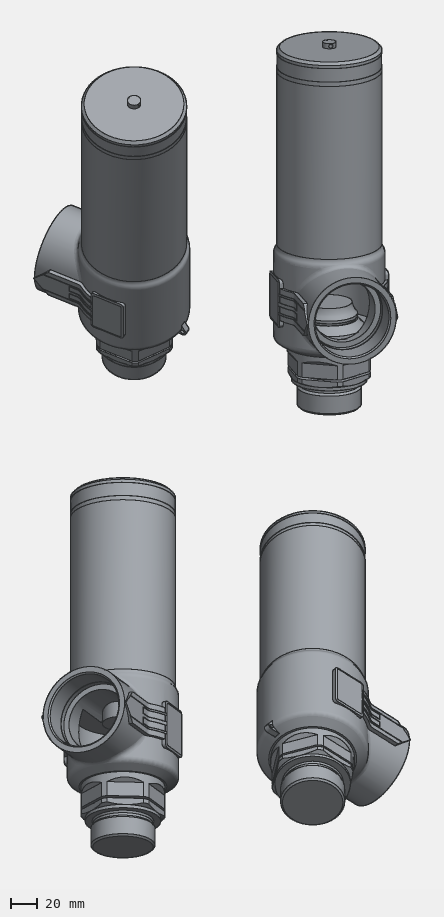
import cadquery as cq
import math


spigot_radius = 23.8
spigot_chamfer = 1.5
spigot_top = 15.0
relief_diameter = 44.5
relief_radius = relief_diameter / 2
relief_bottom = 16.7
relief_top = 18.7
collar_root_radius = 23.0
collar_bottom = 20.5
collar_top = 23.0
hex_sides = 6
hex_half_width = 28.0
neck_radius = 31.2
hex_chamfer_top = 24.7
hex_groove_radius = 25.0
hex_groove_bottom = 28.0
hex_groove_top = 29.8
hex_top = 41.0
hex_runout_height = 2.8
inlet_shoulder = 48.0
shank_radius = 27.0
seat_base_radius = 21.0
seat_base_bottom = 68.7
seat_groove_radius = 20
seat_groove_top = 70.5
seat_base_top = 72.7
seat_radius = 17
seat_top = 81.2
seat_flare_bulge = 0.9

body_radius = 41.5
bottom_radius = 32.5
bottom_cone_top = 53.4
bottom_round = 4.5
shoulder_bottom = 119.5
bonnet_bottom = 126.5
bonnet_radius = 39.2

branch_radius = 33.8
branch_height = 86.5
branch_end = 65.8
branch_blend = 4.0
joint_limit_x = -21.3
branch_thread_radius = 28.5
branch_mouth_chamfer = 1.0
branch_thread_depth = 19.0
branch_step_radius = 28.0
branch_step_depth = 23.5
branch_bore_radius = 23.8

chamber_radius = 35.2
chamber_bottom = 62.5
chamber_top = 102.2
guide_radius = 15.3
guide_bottom = 98.2

edge_margin = 0.3

plate_face = 42.5
plate_width = 27.5
plate_height = 37
plate_corner = 2.8
plate_edge_width = 1.7
plate_edge_depth = 0.5
strap_outer_radius = 44.3
strap_height = 25.0
strap_pad_face = 35.0
strap_blend = 5.7
strap_overlap = 2.8
strap_relief = 0.43
raised_band_height = 16.2
arrow_length = 12.2
stripe_start = -36.0
stripe_height = 5.0
stripe_offset = 4.0

lug_diameter = 6.0
lug_radius = lug_diameter / 2
lug_hole_radius = 1.55
lug_reach = 45.0
lug_x = lug_reach - lug_radius
lug_z = 52.2
lug_thickness = 4.8
lug_root_top = 58.7

cap_bottom = 261.5
cap_band_bottom = 264.8
cap_band_top = 275.3
cap_top = 279.8
cap_chamfer = 2.13
cap_band_depth = 0.3
pin_diameter = 10.0
pin_radius = pin_diameter / 2
pin_top = 283.8
pin_hole_radius = 1.55
pin_hole_height = 281.8


def revolved(profile):
    """Turn a closed (radius, Z) outline about the Z axis."""
    return profile.close().revolve(360, (0, 0, 0), (0, 1, 0))


def along_x(radius, x_from, x_to):
    """Cylinder on the outlet axis between two X positions."""
    plane = cq.Workplane("YZ", origin=(x_from, 0, branch_height))
    return plane.circle(radius).extrude(x_to - x_from)


def disc(radius, z_from, z_to):
    """Cylinder on the valve axis between two heights."""
    return cq.Workplane("XY").workplane(offset=z_from).circle(radius).extrude(z_to - z_from)


def edge_box(x_from, x_to, half_width, z_from, z_to):
    """Selects the edges lying wholly inside a box, with a little room on every side."""
    low = (x_from - edge_margin, -half_width - edge_margin, z_from - edge_margin)
    high = (x_to + edge_margin, half_width + edge_margin, z_to + edge_margin)
    return cq.selectors.BoxSelector(low, high, boundingbox=True)


def hex_flat_cutter(angle):
    """Removes one hexagon flat and its sloping run-out into the round neck."""
    outside = neck_radius + (neck_radius - hex_half_width)
    outside_top = hex_top + 2 * hex_runout_height
    section = (
        cq.Workplane("XZ", origin=(0, neck_radius, 0))
        .moveTo(hex_half_width, collar_top)
        .lineTo(hex_half_width, hex_top)
        .lineTo(outside, outside_top)
        .lineTo(outside, collar_top)
        .close()
        .extrude(2 * neck_radius)
    )
    return section.rotate((0, 0, 0), (0, 0, 1), angle)


def make_inlet():
    flare_middle_radius = (seat_radius + seat_base_radius) / 2 - seat_flare_bulge
    flare_middle_height = (seat_top + seat_base_top) / 2
    turned = revolved(
        cq.Workplane("XZ")
        .moveTo(0, 0)
        .lineTo(spigot_radius - spigot_chamfer, 0)
        .lineTo(spigot_radius, spigot_chamfer)
        .lineTo(spigot_radius, spigot_top)
        .lineTo(relief_radius, relief_bottom)
        .lineTo(relief_radius, relief_top)
        .lineTo(collar_root_radius, collar_bottom)
        .lineTo(hex_half_width, collar_bottom)
        .lineTo(hex_half_width, collar_top)
        .lineTo(neck_radius, hex_chamfer_top)
        .lineTo(neck_radius, hex_groove_bottom)
        .lineTo(hex_groove_radius, hex_groove_bottom)
        .lineTo(hex_groove_radius, hex_groove_top)
        .lineTo(neck_radius, hex_groove_top)
        .lineTo(neck_radius, inlet_shoulder)
        .lineTo(shank_radius, inlet_shoulder)
        .lineTo(shank_radius, chamber_bottom)
        .lineTo(seat_base_radius, seat_base_bottom)
        .lineTo(seat_groove_radius, seat_base_bottom)
        .lineTo(seat_groove_radius, seat_groove_top)
        .lineTo(seat_base_radius, seat_groove_top)
        .lineTo(seat_base_radius, seat_base_top)
        .threePointArc((flare_middle_radius, flare_middle_height), (seat_radius, seat_top))
        .lineTo(0, seat_top)
    )
    flat_angle = 360 / hex_sides
    for side in range(hex_sides):
        turned = turned.cut(hex_flat_cutter((side + 0.5) * flat_angle))
    return turned


def housing_shell():
    """Turned outside of the housing, with the outlet branch blended into it."""
    middle_radius = (body_radius + bonnet_radius) / 2
    middle_height = (shoulder_bottom + bonnet_bottom) / 2
    turned = revolved(
        cq.Workplane("XZ")
        .moveTo(0, inlet_shoulder)
        .lineTo(bottom_radius, inlet_shoulder)
        .lineTo(body_radius, bottom_cone_top)
        .lineTo(body_radius, shoulder_bottom)
        .tangentArcPoint((middle_radius, middle_height), relative=False)
        .tangentArcPoint((bonnet_radius, bonnet_bottom), relative=False)
        .lineTo(0, bonnet_bottom)
    )
    turned = turned.edges(
        edge_box(-body_radius, body_radius, body_radius, bottom_cone_top, bottom_cone_top)
    ).fillet(bottom_round)
    joined = turned.union(along_x(branch_radius, -branch_end, 0))
    joint = edge_box(-body_radius, joint_limit_x, branch_radius, 0, bonnet_bottom)
    return joined.edges(joint).fillet(branch_blend)


def outlet_passage():
    """Threaded branch mouth, its step and the bore through to the chamber."""
    mouth = -branch_end
    step_start = mouth + branch_thread_depth
    bore_start = mouth + branch_step_depth
    thread = along_x(branch_thread_radius, mouth, step_start)
    chamfer = cq.Workplane(
        cq.Solid.makeCone(
            branch_thread_radius + branch_mouth_chamfer,
            branch_thread_radius,
            branch_mouth_chamfer,
            cq.Vector(mouth, 0, branch_height),
            cq.Vector(1, 0, 0),
        )
    )
    step = along_x(branch_step_radius, step_start, bore_start)
    bore = along_x(branch_bore_radius, bore_start, 0)
    return thread.union(chamfer).union(step).union(bore)


def chamber():
    """Space around the seat and the outlet, leaving a guide boss hanging from the ceiling."""
    space = disc(chamber_radius, chamber_bottom, chamber_top)
    passage = space.union(outlet_passage())
    return passage.cut(disc(guide_radius, guide_bottom, bonnet_bottom))


def strap_band(recess, height):
    """Band that follows the housing wall and runs on as a flat pad along the branch (-Y side)."""
    radius = strap_outer_radius - recess
    face = strap_pad_face - recess
    bend_x = -math.sqrt(radius**2 - face**2)
    end_x = strap_overlap - plate_width / 2
    end_y = -math.sqrt(radius**2 - end_x**2)
    middle = (math.atan2(-face, bend_x) + math.atan2(end_y, end_x)) / 2
    outline = (
        cq.Workplane("XY", origin=(0, 0, branch_height - height / 2))
        .moveTo(-branch_end, 0)
        .lineTo(-branch_end, -face)
        .lineTo(bend_x, -face)
        .threePointArc((radius * math.cos(middle), radius * math.sin(middle)), (end_x, end_y))
        .lineTo(end_x, 0)
        .close()
        .extrude(height)
    )
    bend = cq.selectors.NearestToPointSelector((bend_x, -face, branch_height))
    return outline.edges("|Z").edges(bend).fillet(strap_blend)


def strap():
    """Arrow strap: a raised middle band with two grooved stripes."""
    band = strap_band(0, raised_band_height)
    for side in (-1, 1):
        stripe_z = branch_height + side * stripe_offset
        groove = cq.Workplane("XY", origin=(stripe_start, 0, stripe_z)).box(
            -stripe_start, 2 * plate_face, stripe_height, centered=(False, True, True)
        )
        band = band.cut(groove)
    whole = strap_band(strap_relief, strap_height).union(band)
    half = strap_height / 2
    shoulder_x = -branch_end + arrow_length
    arrow = (
        cq.Workplane("XZ", origin=(0, 0, branch_height))
        .polyline([(-branch_end, 0), (shoulder_x, half), (0, half), (0, -half), (shoulder_x, -half)])
        .close()
        .extrude(plate_face)
    )
    return whole.intersect(arrow)


def name_plate():
    return (
        cq.Workplane("XZ", origin=(0, 0, branch_height))
        .rect(plate_width, plate_height)
        .extrude(plate_face)
        .edges("|Y")
        .fillet(plate_corner)
        .faces("<Y")
        .chamfer(plate_edge_depth, plate_edge_width)
    )


def seal_lug():
    """Ear with a hole for a sealing wire, on the side away from the outlet."""
    reach = lug_radius / math.sqrt(2)
    web = (
        cq.Workplane("XZ", origin=(0, lug_thickness / 2, 0))
        .moveTo(bottom_radius, lug_z - lug_radius)
        .lineTo(lug_x, lug_z - lug_radius)
        .lineTo(lug_x + reach, lug_z + reach)
        .lineTo(body_radius, lug_root_top)
        .lineTo(bottom_radius, lug_root_top)
        .close()
        .extrude(lug_thickness)
    )
    eye = cq.Workplane("XZ", origin=(lug_x, lug_thickness / 2, lug_z))
    ear = web.union(eye.circle(lug_radius).extrude(lug_thickness))
    return ear.cut(eye.circle(lug_hole_radius).extrude(lug_thickness))


def make_housing():
    shell = housing_shell().union(seal_lug())
    badge = name_plate().union(strap())
    shell = shell.union(badge).union(badge.mirror("XZ"))
    shank_hole = disc(shank_radius, inlet_shoulder, chamber_bottom)
    return shell.cut(chamber()).cut(shank_hole)


def make_bonnet():
    return disc(bonnet_radius, bonnet_bottom, cap_bottom)


def make_cap():
    """Chamfered cap with a shallow band round it and a cross-drilled sealing pin on top."""
    cap = disc(bonnet_radius, cap_bottom, cap_top).faces(">Z").chamfer(cap_chamfer)
    band = disc(bonnet_radius, cap_band_bottom, cap_band_top)
    band_core = disc(bonnet_radius - cap_band_depth, cap_band_bottom, cap_band_top)
    cap = cap.cut(band.cut(band_core))
    pin = disc(pin_radius, cap_top, pin_top)
    cross_hole = (
        cq.Workplane("YZ", origin=(-pin_radius, 0, pin_hole_height))
        .circle(pin_hole_radius)
        .extrude(2 * pin_radius)
    )
    return cap.union(pin.cut(cross_hole))


inlet = make_inlet()
housing = make_housing()
bonnet = make_bonnet()
cap = make_cap()

result = cq.Compound.makeCompound([inlet.val(), housing.val(), bonnet.val(), cap.val()])